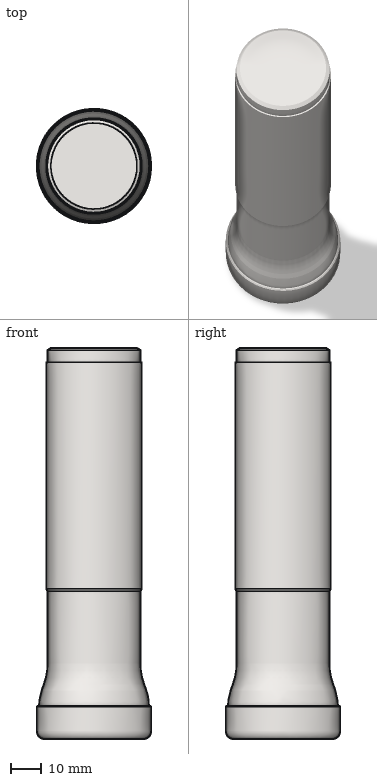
import cadquery as cq
import math

total_length = 130.2
sleeve_diameter = 31.9
sleeve_radius = sleeve_diameter / 2
neck_radius = 15.5
base_diameter = 38.1
base_radius = base_diameter / 2

cap_radius = neck_radius
cap_length = 4.8
cap_chamfer_width = 1.2
cap_chamfer_height = 0.8

body_top_z = total_length - cap_length
sleeve_bottom_z = 50.0
flare_top_z = 25.3
cone_top_z = 18.2
cone_bottom_z = 16.3
flare_bottom_z = 11.2

sleeve_chamfer_height = 0.8
base_fillet = 2.7
base_chamfer = 0.4

flare_angle = math.radians(20)
hollow_arc_radius = (flare_top_z - cone_top_z) / math.sin(flare_angle)
round_arc_radius = (cone_bottom_z - flare_bottom_z) / math.sin(flare_angle)


def arc_offset(arc_radius, angle):
    """Radial and axial travel along an arc that starts out vertical."""
    return arc_radius * (1 - math.cos(angle)), arc_radius * math.sin(angle)


def make_body():
    """Solid handle with a thicker sleeve, a neck and a flared base."""
    hollow_width, _ = arc_offset(hollow_arc_radius, flare_angle)
    hollow_mid_width, hollow_mid_drop = arc_offset(hollow_arc_radius, flare_angle / 2)
    round_width, _ = arc_offset(round_arc_radius, flare_angle)
    round_mid_width, round_mid_rise = arc_offset(round_arc_radius, flare_angle / 2)

    cone_top_radius = neck_radius + hollow_width
    cone_bottom_radius = cone_top_radius + (cone_top_z - cone_bottom_z) * math.tan(flare_angle)
    flare_bottom_radius = cone_bottom_radius + round_width

    profile = (
        cq.Workplane("XZ")
        .moveTo(0, 0)
        .lineTo(0, body_top_z)
        .lineTo(sleeve_radius, body_top_z)
        .lineTo(sleeve_radius, sleeve_bottom_z)
        .lineTo(neck_radius, sleeve_bottom_z - sleeve_chamfer_height)
        .lineTo(neck_radius, flare_top_z)
        .threePointArc(
            (neck_radius + hollow_mid_width, flare_top_z - hollow_mid_drop),
            (cone_top_radius, cone_top_z),
        )
        .lineTo(cone_bottom_radius, cone_bottom_z)
        .threePointArc(
            (flare_bottom_radius - round_mid_width, flare_bottom_z + round_mid_rise),
            (flare_bottom_radius, flare_bottom_z),
        )
        .lineTo(base_radius - base_chamfer, flare_bottom_z)
        .lineTo(base_radius, flare_bottom_z - base_chamfer)
        .lineTo(base_radius, 0)
        .close()
    )
    return profile.revolve(360, (0, 0, 0), (0, 1, 0)).faces("<Z").edges().fillet(base_fillet)


def make_cap():
    """Chamfered disc closing the top end of the body."""
    top_radius = cap_radius - cap_chamfer_width
    profile = (
        cq.Workplane("XZ")
        .moveTo(0, body_top_z)
        .lineTo(cap_radius, body_top_z)
        .lineTo(cap_radius, total_length - cap_chamfer_height)
        .lineTo(top_radius, total_length)
        .lineTo(0, total_length)
        .close()
    )
    return profile.revolve(360, (0, 0, 0), (0, 1, 0))


body = make_body()
cap = make_cap()
result = cq.Compound.makeCompound([body.val(), cap.val()])